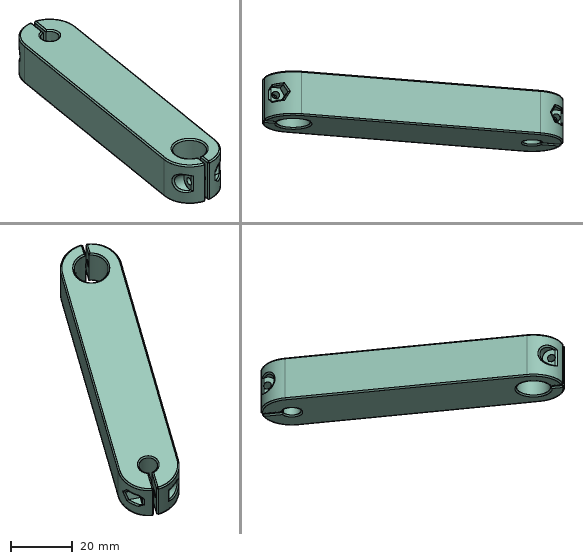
import cadquery as cq
import math

length = 100.0
width = 20.0
height = 15.0
small_bore = 6.0
large_bore = 11.0
slit_width = 1.0
edge_break = 0.5

screw_inset = 3.0
screw_height = 0.5
screw_hole = 2.5
head_diameter = 6.0
nut_across_flats = 5.0
head_seat = 5.0
nut_seat = 4.0

end_radius = width / 2
bore_x = length / 2 - end_radius
screw_x = length / 2 - screw_inset
nut_across_corners = nut_across_flats / math.cos(math.pi / 6)
tolerance = 0.001


def make_bar():
    """Round-ended bar with a split clamp bore at each end and broken edges."""
    bar = cq.Workplane("XY").slot2D(length, width).extrude(height / 2, both=True)
    for side, bore in ((-1, small_bore), (1, large_bore)):
        hole = cq.Workplane("XY").center(side * bore_x, 0).circle(bore / 2)
        bar = bar.cut(hole.extrude(height / 2, both=True))
        slit = cq.Workplane("XY").box(end_radius, slit_width, height)
        bar = bar.cut(slit.translate((side * (bore_x + end_radius / 2), 0, 0)))

    rims = bar.faces("|Z").edges()
    slit_corners = bar.edges("|Z and (<X or >X)")
    return bar.newObject(rims.vals() + slit_corners.vals()).chamfer(edge_break)


def screw_plane(x):
    """Plane on the screw axis whose extrusions run toward +Y."""
    return cq.Workplane(cq.Plane((x, 0, screw_height), (1, 0, 0), (0, 1, 0)))


def cut_pockets(bar, x):
    """Cut a round head pocket on -Y and a hexagonal nut pocket on +Y."""
    head = screw_plane(x).workplane(offset=-width / 2).circle(head_diameter / 2)
    head = head.extrude(width / 2 - head_seat)
    nut = screw_plane(x).workplane(offset=nut_seat).polygon(6, nut_across_corners)
    nut = nut.extrude(width / 2 - nut_seat)
    return bar.cut(head).cut(nut)


def is_pocket_mouth(edge):
    """True when an edge lies on a round end wall, clear of the top and bottom edges."""
    box = edge.BoundingBox()
    if max(abs(box.zmin), abs(box.zmax)) > height / 2 - 2 * edge_break:
        return False
    points = [edge.positionAt(t) for t in (0, 0.5, 1)]
    return all(abs(math.hypot(abs(p.x) - bore_x, p.y) - end_radius) < tolerance for p in points)


result = make_bar()
for side in (-1, 1):
    result = cut_pockets(result, side * screw_x)

mouths = [edge for edge in result.edges().vals() if is_pocket_mouth(edge)]
result = result.newObject(mouths).chamfer(edge_break)

for side in (-1, 1):
    hole = screw_plane(side * screw_x).circle(screw_hole / 2)
    result = result.cut(hole.extrude(width / 2, both=True))